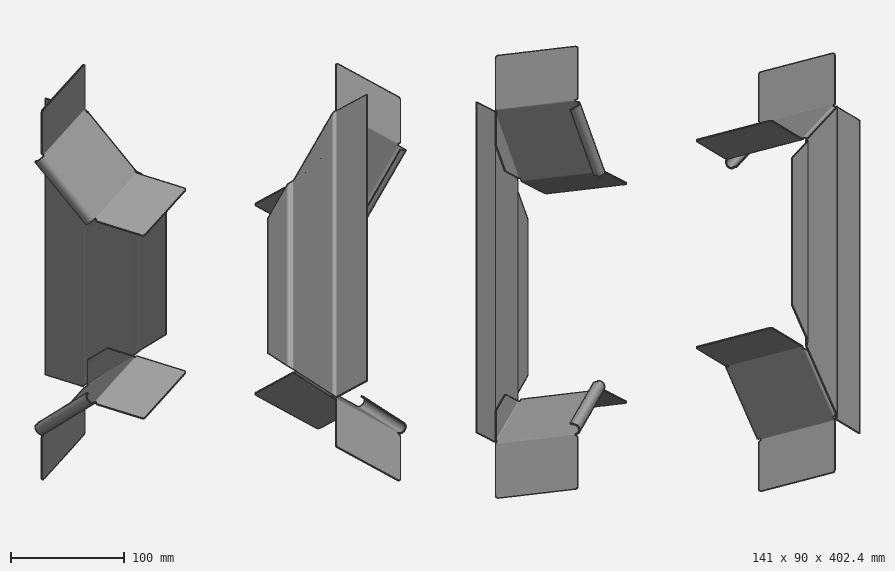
import cadquery as cq
import math

THICKNESS = 1.2
INNER_BEND = 1.0
BEND_ANGLE = math.radians(45)
HALF_HEIGHT = 201.2
HALF_DEPTH = 45.0
HALF_WIDTH = 70.5

FIRST_STEP = 2 * THICKNESS
SECOND_STEP = 3 * THICKNESS
RIGHT_STRIP_Y = HALF_DEPTH - THICKNESS / 2
MIDDLE_STRIP_Y = RIGHT_STRIP_Y - SECOND_STEP
LEFT_STRIP_Y = MIDDLE_STRIP_Y - FIRST_STEP
FIRST_JOGGLE_X = -33.0
SECOND_JOGGLE_X = 18.5
PANEL_RIGHT_X = 46.5
PANEL_HALF_HEIGHT = 150.0
PANEL_SLOPE_SUM = 117.5

UPRIGHT_TAB_X = -31.5
LEVEL_TAB_Z = 99.5
PLATE_SLOPE_SUM = 120.5
TAB_FRONT_Y = -42.0
TAB_CORNER_RADIUS = 2.5
TAB_STUB = INNER_BEND + THICKNESS
UPPER_BEND = (UPRIGHT_TAB_X, PLATE_SLOPE_SUM - UPRIGHT_TAB_X)
LOWER_BEND = (PLATE_SLOPE_SUM - LEVEL_TAB_Z, LEVEL_TAB_Z)

CURL_RADIUS = 5.5
CURL_CENTER_Y = CURL_RADIUS - HALF_DEPTH
CURL_FLAT = 1.0
RETURN_RADIUS = 5.0
RETURN_CENTER_Y = RETURN_RADIUS - HALF_DEPTH
CURL_WIDTH = CURL_RADIUS + CURL_FLAT + RETURN_RADIUS
LIP_END_Y = -37.0
LIP_SETBACK = 1.5
CHANNEL_LENGTH = 72.0
FLAP_WIDTH = 20.5
FLAP_BACK_Y = MIDDLE_STRIP_Y - THICKNESS / 2
FLAP_BEND_RADIUS = INNER_BEND + THICKNESS
PLATE_BACK_Y = FLAP_BACK_Y - FLAP_BEND_RADIUS
FLAP_LEFT_X = -28.5
FLAP_LOW_Z = 101.5


def unit(start, end):
    """Direction from start to end."""
    length = math.dist(start, end)
    return ((end[0] - start[0]) / length, (end[1] - start[1]) / length)


def bent_sheet(plane, path, depth):
    """Sheet whose mid-line follows path, extruded symmetrically, with rounded bends."""
    half = THICKNESS / 2
    directions = [unit(a, b) for a, b in zip(path, path[1:])]
    left_side = []
    right_side = []
    for index, (u, v) in enumerate(path):
        before = directions[max(index - 1, 0)]
        after = directions[min(index, len(directions) - 1)]
        scale = half / (1 + before[0] * after[0] + before[1] * after[1])
        mitre_u = -(before[1] + after[1]) * scale
        mitre_v = (before[0] + after[0]) * scale
        left_side.append((u + mitre_u, v + mitre_v))
        right_side.append((u - mitre_u, v - mitre_v))

    outline = cq.Workplane(plane).polyline(left_side + right_side[::-1]).close()
    sheet = outline.extrude(depth / 2, both=True)
    for index in range(1, len(path) - 1):
        before = directions[index - 1]
        after = directions[index]
        turns_left = before[0] * after[1] - before[1] * after[0] > 0
        inner = left_side[index] if turns_left else right_side[index]
        outer = right_side[index] if turns_left else left_side[index]
        for corner, radius in ((inner, INNER_BEND), (outer, INNER_BEND + THICKNESS)):
            nearest = cq.NearestToPointSelector(plane.toWorldCoords(corner).toTuple())
            sheet = sheet.edges(nearest).fillet(radius)
    return sheet


def back_panel():
    """Three strips joined by two joggles, trimmed to a symmetric sloping outline."""
    path = [
        (-HALF_WIDTH, LEFT_STRIP_Y),
        (FIRST_JOGGLE_X, LEFT_STRIP_Y),
        (FIRST_JOGGLE_X + FIRST_STEP, MIDDLE_STRIP_Y),
        (SECOND_JOGGLE_X, MIDDLE_STRIP_Y),
        (SECOND_JOGGLE_X + SECOND_STEP, RIGHT_STRIP_Y),
        (PANEL_RIGHT_X, RIGHT_STRIP_Y),
    ]
    sheet = bent_sheet(cq.Plane.XY(), path, 2 * PANEL_HALF_HEIGHT)
    upper_edge = [
        (-HALF_WIDTH, PANEL_HALF_HEIGHT),
        (PANEL_SLOPE_SUM - PANEL_HALF_HEIGHT, PANEL_HALF_HEIGHT),
        (PANEL_RIGHT_X, PANEL_SLOPE_SUM - PANEL_RIGHT_X),
    ]
    lower_edge = [(x, -z) for x, z in reversed(upper_edge)]
    outline = cq.Workplane("XZ").polyline(upper_edge + lower_edge).close().extrude(HALF_DEPTH, both=True)
    return sheet.intersect(outline)


def folded_strip():
    """Sloping plate with a bend and a short tab stub at each end."""
    middle_y = (PLATE_BACK_Y + CURL_CENTER_Y) / 2
    path = [
        (UPPER_BEND[0], UPPER_BEND[1] + TAB_STUB),
        UPPER_BEND,
        LOWER_BEND,
        (LOWER_BEND[0] + TAB_STUB, LOWER_BEND[1]),
    ]
    plane = cq.Plane(origin=(0, middle_y, 0), xDir=(1, 0, 0), normal=(0, -1, 0))
    return bent_sheet(plane, path, PLATE_BACK_Y - CURL_CENTER_Y)


def tab(length):
    """Flat tab along local +X from the bend, its free and front corners rounded."""
    width = PLATE_BACK_Y - TAB_FRONT_Y
    plate = cq.Workplane("XY").box(length, width, THICKNESS, centered=(False, False, True))
    plate = plate.translate((0, TAB_FRONT_Y, 0))
    return plate.edges("|Z and (>X or <Y)").fillet(TAB_CORNER_RADIUS)


def flat_tabs():
    """Upright tab above the plate and level tab beside it, each starting at its bend."""
    bend_clearance = (INNER_BEND + THICKNESS) * math.tan(BEND_ANGLE / 2)
    upright_start = UPPER_BEND[1] + bend_clearance
    level_start = LOWER_BEND[0] + bend_clearance
    upright = tab(HALF_HEIGHT - upright_start).rotate((0, 0, 0), (0, 1, 0), -90)
    upright = upright.translate((UPRIGHT_TAB_X, 0, upright_start))
    level = tab(HALF_WIDTH - level_start).translate((level_start, 0, LEVEL_TAB_Z))
    return upright, level


def flap_trim():
    """Space behind the plate that the flap leaves free at the upright and the level tab."""
    behind_plate = cq.Workplane("XY").box(
        2 * HALF_WIDTH, HALF_DEPTH, HALF_HEIGHT, centered=(True, False, False)
    ).translate((0, PLATE_BACK_Y, 0))
    flap_space = cq.Workplane("XY").box(
        2 * HALF_WIDTH, HALF_DEPTH, HALF_HEIGHT, centered=False
    ).translate((FLAP_LEFT_X, PLATE_BACK_Y, FLAP_LOW_Z))
    return behind_plate.cut(flap_space)


def channel():
    """Plate with the curl along its front edge and the flap along its back edge."""
    diagonal = math.sqrt(0.5)
    inner_radius = CURL_RADIUS - THICKNESS
    inner_return = RETURN_RADIUS - THICKNESS
    return_x = CURL_RADIUS + CURL_FLAT
    flap_front_y = FLAP_BACK_Y - THICKNESS
    face_offset = THICKNESS / 2 * diagonal
    plane = cq.Plane(
        origin=(
            (UPPER_BEND[0] + LOWER_BEND[0]) / 2 + face_offset,
            0,
            (UPPER_BEND[1] + LOWER_BEND[1]) / 2 + face_offset,
        ),
        xDir=(-1, 0, -1),
        normal=(1, 0, -1),
    )

    def arc_middle(center, radius, x_side, y_side):
        """Middle point of the quarter arc in the quadrant given by the two signs."""
        return (center[0] + x_side * radius * diagonal, center[1] + y_side * radius * diagonal)

    curl_center = (CURL_RADIUS, CURL_CENTER_Y)
    return_center = (return_x, RETURN_CENTER_Y)
    flap_center = (FLAP_BEND_RADIUS, PLATE_BACK_Y)
    section = (
        cq.Workplane(plane)
        .moveTo(0, PLATE_BACK_Y)
        .lineTo(0, CURL_CENTER_Y)
        .threePointArc(arc_middle(curl_center, CURL_RADIUS, -1, -1), (CURL_RADIUS, -HALF_DEPTH))
        .lineTo(return_x, -HALF_DEPTH)
        .threePointArc(arc_middle(return_center, RETURN_RADIUS, 1, -1), (CURL_WIDTH, RETURN_CENTER_Y))
        .lineTo(CURL_WIDTH - THICKNESS, RETURN_CENTER_Y)
        .threePointArc(arc_middle(return_center, inner_return, 1, -1), (return_x, THICKNESS - HALF_DEPTH))
        .lineTo(CURL_RADIUS, THICKNESS - HALF_DEPTH)
        .threePointArc(arc_middle(curl_center, inner_radius, -1, -1), (THICKNESS, CURL_CENTER_Y))
        .lineTo(THICKNESS, PLATE_BACK_Y)
        .threePointArc(arc_middle(flap_center, INNER_BEND, -1, 1), (FLAP_BEND_RADIUS, flap_front_y))
        .lineTo(FLAP_WIDTH, flap_front_y)
        .lineTo(FLAP_WIDTH, FLAP_BACK_Y)
        .lineTo(FLAP_BEND_RADIUS, FLAP_BACK_Y)
        .threePointArc(arc_middle(flap_center, FLAP_BEND_RADIUS, -1, 1), (0, PLATE_BACK_Y))
        .close()
        .extrude(CHANNEL_LENGTH / 2, both=True)
    )
    lip = (
        cq.Workplane(plane)
        .center(CURL_WIDTH - THICKNESS, RETURN_CENTER_Y)
        .rect(THICKNESS, LIP_END_Y - RETURN_CENTER_Y, centered=False)
        .extrude(CHANNEL_LENGTH / 2 - LIP_SETBACK, both=True)
    )
    return section.cut(flap_trim()).union(lip)


def bracket():
    """Upper bracket: tabs, plate, curl and flap in one solid."""
    upright, level = flat_tabs()
    return channel().union(folded_strip()).union(upright).union(level)


panel = back_panel()

brackets = []
for mirrored in (False, True):
    end_bracket = bracket()
    if mirrored:
        end_bracket = end_bracket.mirror("XY")
    brackets.append(end_bracket.val())

result = cq.Compound.makeCompound([panel.val(), *brackets])